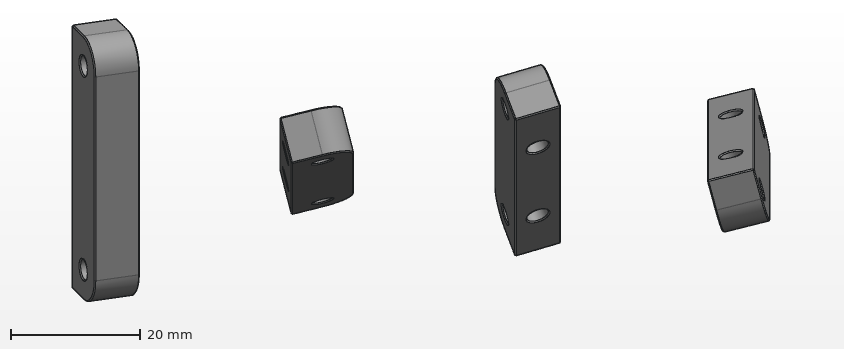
import cadquery as cq

height = 44.0
width = 10.0
depth = 7.5
corner_radius = width / 2
edge_chamfer = 0.2

cross_hole_diameter = 3.2
cross_hole_spacing = 34.0

side_hole_diameter = 3.5
side_hole_spacing = 22.0
side_hole_depth = 6.6

hole_chamfer = edge_chamfer


def make_bar():
    """Upright bar with rounded +X corners and all outer edges chamfered."""
    bar = cq.Workplane("XY").box(width, depth, height)
    bar = bar.edges("|Y and >X").fillet(corner_radius)
    return bar.faces("<Y or >Y or <X").edges().chamfer(edge_chamfer)


def make_hole_cutter(diameter, length):
    """Cylinder along +Z from the origin, widened by a chamfer at its start."""
    radius = diameter / 2
    cylinder = cq.Workplane("XY").circle(radius).extrude(length)
    mouth = cq.Solid.makeCone(radius + hole_chamfer, radius, hole_chamfer)
    return cylinder.union(cq.Workplane(obj=mouth))


result = make_bar()

for z in (-cross_hole_spacing / 2, cross_hole_spacing / 2):
    for side in (-1, 1):
        cutter = make_hole_cutter(cross_hole_diameter, depth / 2)
        cutter = cutter.rotate((0, 0, 0), (1, 0, 0), side * 90)
        result = result.cut(cutter.translate((0, side * depth / 2, z)))

for z in (-side_hole_spacing / 2, side_hole_spacing / 2):
    cutter = make_hole_cutter(side_hole_diameter, side_hole_depth)
    cutter = cutter.rotate((0, 0, 0), (0, 1, 0), 90)
    result = result.cut(cutter.translate((-width / 2, 0, z)))